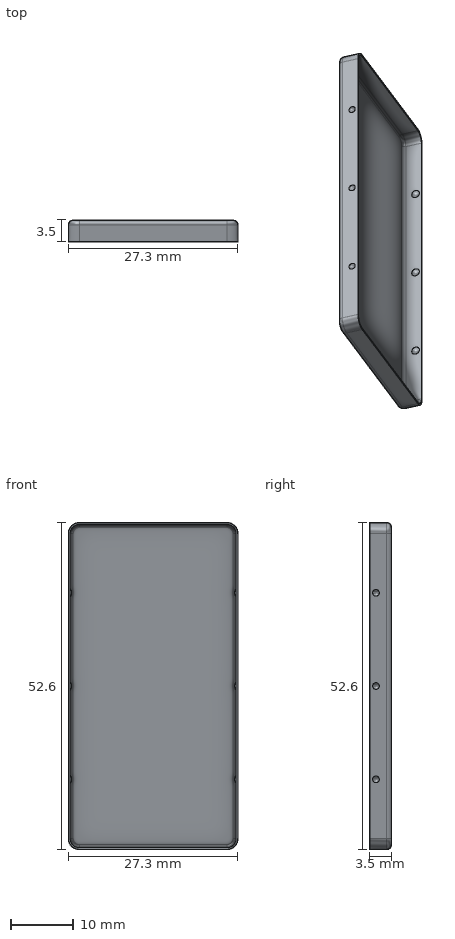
import cadquery as cq

WIDTH = 27.3
DEPTH = 3.5
HEIGHT = 52.6

WALL = 0.3
CORNER_RADIUS = 1.8
FLOOR_EDGE_RADIUS = 0.8

DIMPLE_BALL_RADIUS = 0.7
DIMPLE_DEPTH = 0.25
DIMPLE_SPACING = 15.0
DIMPLE_ROWS = (-1, 0, 1)
DIMPLE_FROM_RIM = 1.0

RIM_Y = -DEPTH / 2
DIMPLE_Y = RIM_Y + DIMPLE_FROM_RIM


def rounded_block(width, height, depth, corner_radius, edge_radius):
    """Block rising from the rim plane towards +Y, with rounded corners and rounded far edges."""
    return (
        cq.Workplane("XZ", origin=(0, RIM_Y, 0))
        .rect(width, height)
        .extrude(-depth)
        .edges("|Y")
        .fillet(corner_radius)
        .faces(">Y")
        .edges()
        .fillet(edge_radius)
    )


def make_shell():
    """Thin shell: an outer block less a cavity offset inwards by the wall thickness."""
    outer = rounded_block(WIDTH, HEIGHT, DEPTH, CORNER_RADIUS, FLOOR_EDGE_RADIUS)
    cavity = rounded_block(
        WIDTH - 2 * WALL,
        HEIGHT - 2 * WALL,
        DEPTH - WALL,
        CORNER_RADIUS - WALL,
        FLOOR_EDGE_RADIUS - WALL,
    )
    return outer.cut(cavity)


def ball(radius, z):
    """Ball centered outside the +X wall; a dimple and the bump behind it share this center."""
    center_x = WIDTH / 2 - DIMPLE_DEPTH + DIMPLE_BALL_RADIUS
    return cq.Workplane("XY").sphere(radius).translate((center_x, DIMPLE_Y, z))


def press_dimple(tray, z):
    """Add the inner bump to the +X wall of the tray, then cut the outer dimple into it."""
    wall_middle_x = (WIDTH - WALL) / 2
    inside_wall = cq.Workplane("XY").box(wall_middle_x, DEPTH, HEIGHT)
    inside_wall = inside_wall.translate((wall_middle_x / 2, 0, 0))
    bump = ball(DIMPLE_BALL_RADIUS + WALL, z).intersect(inside_wall)
    dimple = ball(DIMPLE_BALL_RADIUS, z)
    return tray.union(bump).cut(dimple)


def make_right_half():
    """The +X half of the tray, with its row of dimples."""
    half_space = cq.Workplane("XY").box(WIDTH / 2, DEPTH, HEIGHT).translate((WIDTH / 4, 0, 0))
    half = make_shell().intersect(half_space)
    for row in DIMPLE_ROWS:
        half = press_dimple(half, row * DIMPLE_SPACING)
    return half


right_half = make_right_half()
result = right_half.union(right_half.mirror("YZ"), clean=True)